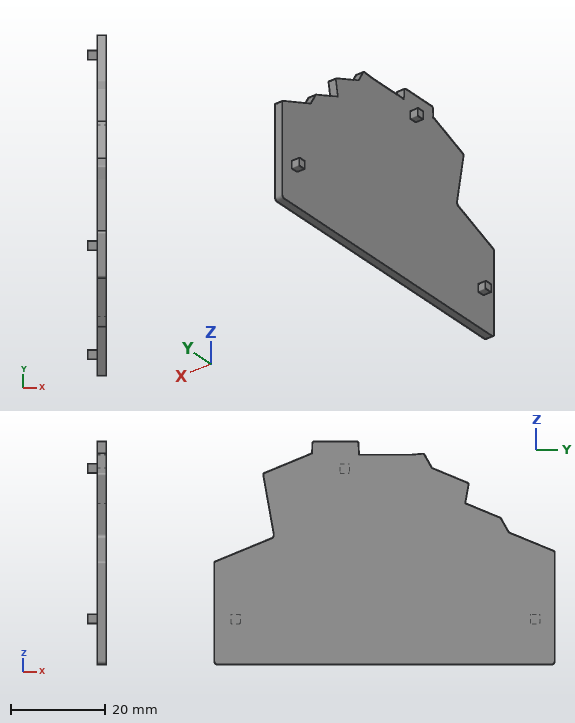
import cadquery as cq

plate_thickness = 2.0
plate_length = 72.35
plate_height = 47.45

base_radius = 0.8
corner_radius = 0.5

peg_side = 2.0
peg_length = 2.0
peg_edge_radius = 0.2
low_peg_height = 9.75
high_peg_height = 41.7
peg_positions = [
    (4.25, low_peg_height),
    (67.85, low_peg_height),
    (44.7, high_peg_height),
]

shelf_height = 44.6
back_edge_height = 24.1
front_edge_height = 21.85

outline = [
    (0, 0, base_radius),
    (0, back_edge_height, corner_radius),
    (9.75, 28.1, corner_radius),
    (11.5, 31.2, corner_radius),
    (19.0, 34.3, 0),
    (18.25, 38.55, corner_radius),
    (26.1, 41.8, 0),
    (27.8, 44.85, corner_radius),
    (30.7, shelf_height, 0),
    (41.55, shelf_height, 0),
    (41.7, plate_height, corner_radius),
    (51.5, plate_height, corner_radius),
    (51.6, 44.9, 0),
    (62.0, 40.6, corner_radius),
    (59.6, 27.1, base_radius),
    (plate_length, front_edge_height, corner_radius),
    (plate_length, 0, base_radius),
]


def to_y(distance):
    """Y coordinate of a point at a distance from the +Y end; the plate is centred on Y."""
    return plate_length / 2 - distance


def make_plate():
    """Flat plate with its inner face on X = 0 and its outline corners rounded."""
    corners = [(to_y(distance), height) for distance, height, _ in outline]
    plate = cq.Workplane("YZ").polyline(corners).close().extrude(plate_thickness)
    for distance, height, radius in outline:
        if radius > 0:
            corner = (plate_thickness / 2, to_y(distance), height)
            plate = plate.edges(cq.NearestToPointSelector(corner)).fillet(radius)
    return plate


def make_peg(distance, height):
    """Square peg standing out of the inner face toward -X, its long edges rounded."""
    return (
        cq.Workplane("YZ")
        .center(to_y(distance), height)
        .rect(peg_side, peg_side)
        .extrude(-peg_length)
        .edges("|X")
        .fillet(peg_edge_radius)
    )


result = make_plate()
for peg_distance, peg_height in peg_positions:
    result = result.union(make_peg(peg_distance, peg_height))